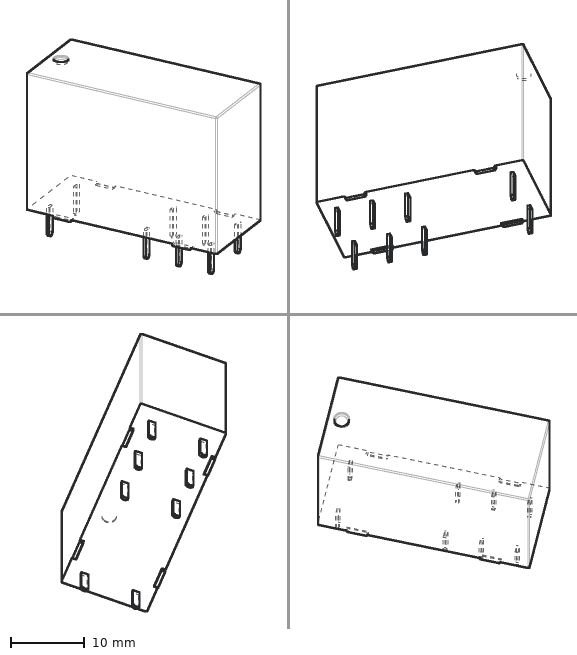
import cadquery as cq

case_length = 29.5
case_width = 12.5
total_height = 24.89
pin_length = 4.4
case_height = total_height - pin_length
edge_radius = 0.2

vent_offset = 1.93
vent_diameter = 2.0
vent_mouth_radius = 0.1
vent_floor_radius = 0.2
vent_depth = 0.5

foot_center_offset = 5.5
foot_base_length = 3.0
foot_height = 0.33
foot_taper = 0.2
foot_width = 0.55

pin_thickness = 0.4
pin_width = 1.0
pin_tip_width = 0.35
pin_tip_height = 0.4
pin_row_spacing = 7.5
first_pin_offset = 2.25
coil_to_contact_pitch = 15.0
contact_pitch = 5.0
contacts_per_row = 3
pin_embed = 1.0

left_end = -case_length / 2
first_pin_x = left_end + first_pin_offset
first_contact_x = first_pin_x + coil_to_contact_pitch
foot_center_x = case_length / 2 - foot_center_offset
pin_positions = [first_pin_x] + [first_contact_x + i * contact_pitch for i in range(contacts_per_row)]


def make_case():
    """Plain box with its underside at Z = 0, rounded on every edge except around the underside."""
    box = cq.Workplane("XY").box(case_length, case_width, case_height, centered=(True, True, False))
    return box.edges("|Z or >Z").fillet(edge_radius)


def cut_vent(case):
    """Sink the blind vent hole into the top face, rounding its mouth and the edge of its floor."""
    vent = (
        cq.Workplane("XY", origin=(left_end + vent_offset, 0, case_height))
        .circle(vent_diameter / 2)
        .extrude(-vent_depth)
        .faces("<Z")
        .edges()
        .fillet(vent_floor_radius)
    )
    return case.cut(vent).edges("%CIRCLE and >Z").fillet(vent_mouth_radius)


def make_foot(x, side):
    """Foot with sloped ends, flush with the long wall on the given side (+1 or -1 along Y)."""
    half_base = foot_base_length / 2
    half_sole = half_base - foot_taper
    outline = [
        (x - half_base, 0),
        (x + half_base, 0),
        (x + half_sole, -foot_height),
        (x - half_sole, -foot_height),
    ]
    y_center = side * (case_width - foot_width) / 2
    return (
        cq.Workplane("XZ", origin=(0, y_center, 0))
        .polyline(outline)
        .close()
        .extrude(foot_width / 2, both=True)
    )


def make_pin(x, y):
    """Flat pin, thin along X, with a tapered tip; its upper end is buried in the case."""
    half_width = pin_width / 2
    half_tip = pin_tip_width / 2
    shoulder_z = pin_tip_height - pin_length
    outline = [
        (-half_width, pin_embed),
        (half_width, pin_embed),
        (half_width, shoulder_z),
        (half_tip, -pin_length),
        (-half_tip, -pin_length),
        (-half_width, shoulder_z),
    ]
    return (
        cq.Workplane("YZ", origin=(x, y, 0))
        .polyline(outline)
        .close()
        .extrude(pin_thickness / 2, both=True)
    )


result = cut_vent(make_case())

for side in (-1, 1):
    for foot_end in (-1, 1):
        result = result.union(make_foot(foot_end * foot_center_x, side))
    for pin_x in pin_positions:
        result = result.union(make_pin(pin_x, side * pin_row_spacing / 2))